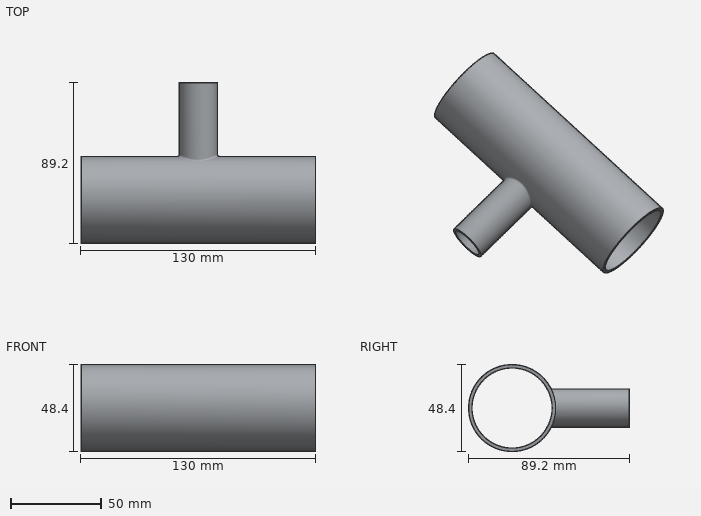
import cadquery as cq

pipe_length = 130.0
pipe_diameter = 48.4
pipe_bore = 44.3

branch_diameter = 21.3
branch_bore = 18.1
branch_reach = 65.0

weld_radius = 1.0


def pipe_cylinder(diameter):
    """Full-length cylinder on the main pipe axis."""
    return cq.Workplane("YZ").circle(diameter / 2).extrude(pipe_length / 2, both=True)


def branch_cylinder(diameter):
    """Cylinder from the main pipe axis out to the open end of the branch."""
    return cq.Workplane("XZ").circle(diameter / 2).extrude(-branch_reach)


def joint_edges(body):
    """Edges where the branch wall meets the main pipe wall."""
    half_width = branch_diameter / 2 + weld_radius
    joint_zone = cq.selectors.BoxSelector(
        (-half_width, 0, -half_width),
        (half_width, pipe_diameter / 2 + weld_radius, half_width),
        boundingbox=True,
    )
    return body.edges(joint_zone)


outside = pipe_cylinder(pipe_diameter).union(branch_cylinder(branch_diameter))
outside = joint_edges(outside).fillet(weld_radius)
result = outside.cut(pipe_cylinder(pipe_bore)).cut(branch_cylinder(branch_bore))